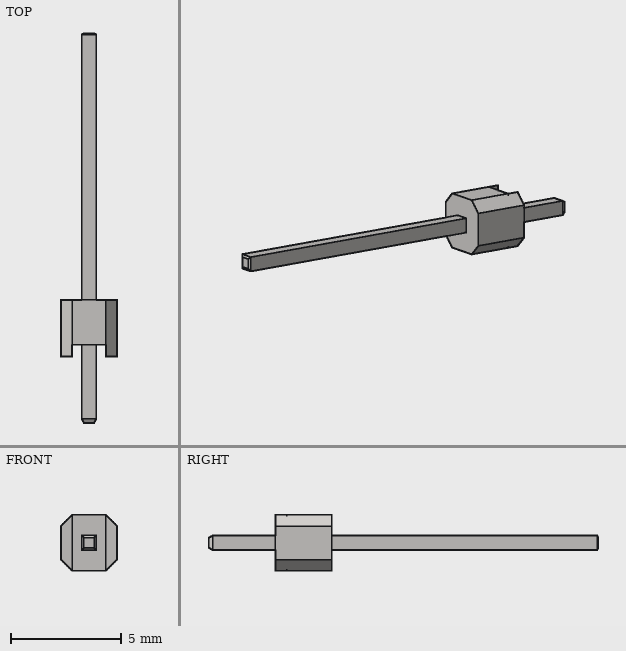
import cadquery as cq

housing_width = 2.54
housing_length = 2.55
housing_bevel = 0.51
recess_depth = 0.53

pin_length = 17.64
pin_width = 0.67
front_pin_length = 3.02
front_taper_length = 0.2
front_taper_inset = 0.1
rear_taper_length = 0.05
rear_taper_inset = 0.1

housing_front = front_pin_length


def square_bar(width, y_start, length):
    """Square bar running from y_start towards +Y."""
    return (
        cq.Workplane("XZ", origin=(0, y_start, 0))
        .rect(width, width)
        .extrude(-length)
    )


def make_housing():
    """Bevelled block whose front is cut back between its two side walls."""
    block = square_bar(housing_width, housing_front, housing_length)
    block = block.edges("|Y").chamfer(housing_bevel)
    recess_width = housing_width - 2 * housing_bevel
    recess = cq.Workplane("XY").box(
        recess_width, recess_depth, housing_width, centered=(True, False, True)
    )
    return block.cut(recess.translate((0, housing_front, 0)))


def tapered_tip(tip_y, base_y, inset):
    """Frustum narrowing from the full pin section at base_y to the tip at tip_y."""
    tip_width = pin_width - 2 * inset
    return (
        cq.Workplane("XZ", origin=(0, base_y, 0))
        .rect(pin_width, pin_width)
        .workplane(offset=base_y - tip_y)
        .rect(tip_width, tip_width)
        .loft(ruled=True)
    )


def make_pin():
    """Square pin with a long taper at the front tip and a short one at the rear."""
    shank_front = front_taper_length
    shank_rear = pin_length - rear_taper_length
    shank = square_bar(pin_width, shank_front, shank_rear - shank_front)
    front_tip = tapered_tip(0, shank_front, front_taper_inset)
    rear_tip = tapered_tip(pin_length, shank_rear, rear_taper_inset)
    return shank.union(front_tip).union(rear_tip)


result = make_housing().union(make_pin())